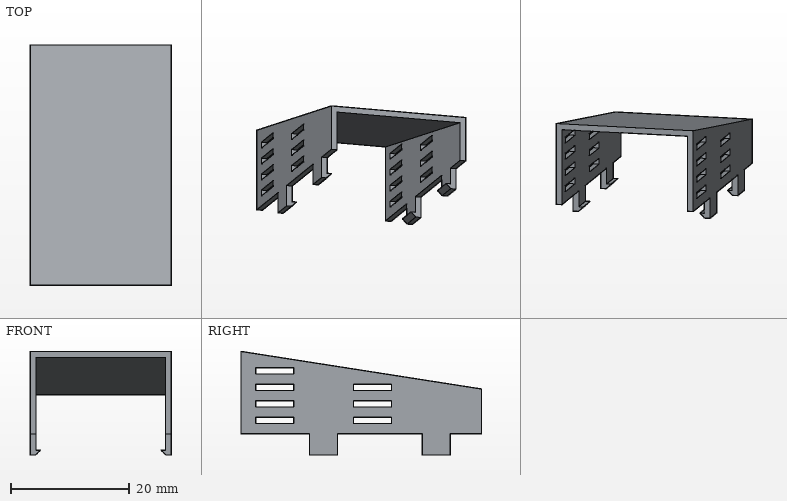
import cadquery as cq

width = 23.876
length = 40.64
front_height = 13.97
rear_height = 7.62
wall = 1.016

leg_drop = 3.556
leg_length = 4.75
leg_pitch = 19.05
front_leg_setback = 11.56
leg_count = 2
hook_reach = 0.762
hook_height = 0.84

slot_length = 6.35
slot_height = 1.016
slot_pitch = 2.794
slot_base = 1.778
slot_setback = 2.54
slot_column_pitch = 16.51
slots_per_column = (4, 3)

front_y = -length / 2
rear_y = length / 2
inner_x = width / 2 - wall


def wedge(block_width, front_top, rear_top):
    """Block with a flat bottom and a top that slopes down towards +Y."""
    side_outline = [
        (front_y, 0),
        (rear_y, 0),
        (rear_y, rear_top),
        (front_y, front_top),
    ]
    return cq.Workplane("YZ").polyline(side_outline).close().extrude(block_width / 2, both=True)


def make_shell():
    """Sloped roof on two side walls, open at the front, rear and bottom."""
    outside = wedge(width, front_height, rear_height)
    inside = wedge(2 * inner_x, front_height - wall, rear_height - wall)
    return outside.cut(inside)


def make_leg(start_y):
    """Leg on the +X wall with a hook that points inwards at its lower end."""
    hook_tip_x = inner_x - hook_reach
    hook_top = -leg_drop + hook_height
    profile = [
        (width / 2, wall),
        (width / 2, -leg_drop),
        (hook_tip_x + hook_height, -leg_drop),
        (hook_tip_x, hook_top),
        (inner_x, hook_top),
        (inner_x, wall),
    ]
    leg = cq.Workplane("XZ").polyline(profile).close().extrude(-leg_length)
    return leg.translate((0, start_y, 0))


def make_slot(start_y, bottom_z):
    """Cutter for one slot, passing through both side walls."""
    cutter = cq.Workplane("XY").box(width, slot_length, slot_height, centered=(True, False, False))
    return cutter.translate((0, start_y, bottom_z))


result = make_shell()

for leg_index in range(leg_count):
    leg = make_leg(front_y + front_leg_setback + leg_index * leg_pitch)
    result = result.union(leg).union(leg.mirror("YZ"))

for column, slot_count in enumerate(slots_per_column):
    column_y = front_y + slot_setback + column * slot_column_pitch
    for row in range(slot_count):
        result = result.cut(make_slot(column_y, slot_base + row * slot_pitch))